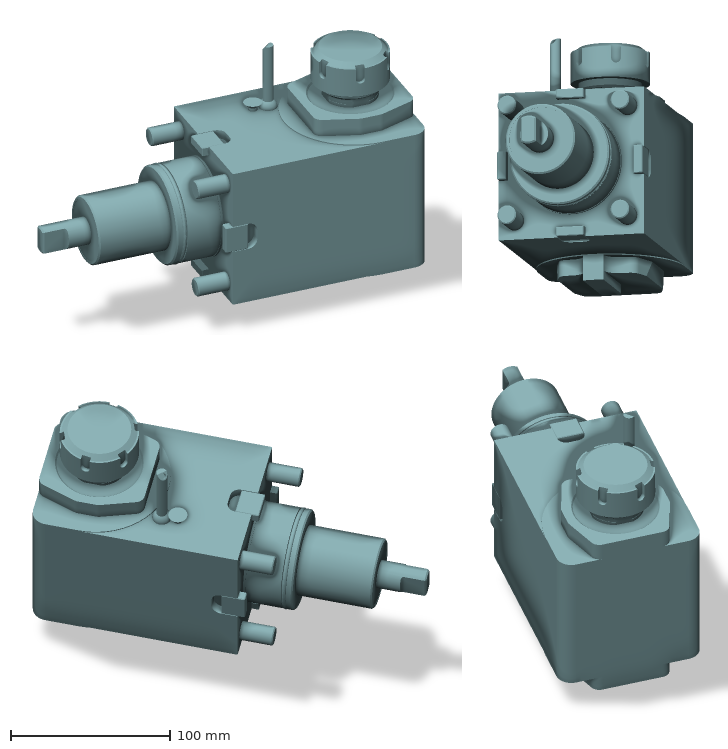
import cadquery as cq
import math


housing_width = 94.0
housing_back = 134.2
corner_radius = 9.8
pad_height = 0.7
pad_center_y = 102.5
spindle_y = 100.2
half_width = housing_width / 2
pad_z = half_width + pad_height

plate_half_x = 33.7
plate_side_half = 7.1
plate_end_half = 24.3
plate_corner_radius = 6.1
plate_half_y = housing_back - spindle_y
top_plate_z = 59.5
bottom_plate_z = -58.0
seat_diameter = 55.8
seat_floor_diameter = 53.8
seat_depth = 1.0

taper_half_top = 31.0
taper_half_bottom = 28.7

tongue_width = 13.3
tongue_back = 107.1
tongue_z = -63.6
tongue_root_radius = 9.8

collar_base_diameter = 65.0
collar_base_length = 1.5
collar_diameter = 64.4
collar_end = 31.7
ring_groove_diameter = 60.2
ring_groove_start = 24.3
ring_groove_width = 3.2
ring_diameter = 65.0
ring_section = 3.0
shank_diameter = 45.0
shank_end = 80.5
shank_recess_diameter = 40.0
shank_recess_depth = 0.2
shaft_diameter = 18.0
shaft_end = 111.5
tang_start = 95.5
tang_thickness = 9.8
tang_root_radius = 1.7
edge_chamfer = 1.0

bolt_diameter = 12.0
bolt_x = 36.5
bolt_z = 35.1
bolt_end = 21.4
bolt_chamfer = 0.7

key_count = 4
key_width = 18.0
key_back = 10.5
key_front = 4.7
key_depth = 6.0
key_slot_length = 16.7
key_slot_corner_radius = 6.0
key_chamfer = 0.5

nut_diameter = 49.9
nut_top_diameter = 40.0
nut_bottom_z = 70.3
nut_shoulder_z = 90.0
nut_shoulder_diameter = 47.7
nut_top_z = 92.9
nut_slot_count = 6
nut_slot_width = 6.0
nut_slot_bottom_z = 79.4
nut_slot_floor = 22.0
nut_slot_angle = 52.0
thread_diameter = 40.0
thread_bottom_z = 66.0
spindle_neck_diameter = 35.9
neck_groove_depth = 0.2
neck_groove_bottom_z = 60.7
neck_groove_top_z = 62.5
flat_count = 4
flat_distance = 17.0
flat_top_z = 64.9

nozzle_x = -24.0
nozzle_y = 54.3
nozzle_diameter = 7.0
nozzle_top_z = 91.5
nozzle_bevel_drop = 4.0
nozzle_bevel_angle = 45.0
ball_diameter = 12.0
jet_diameter = 4.0
jet_depth = 2.5
screw_y = 44.0
screw_head_diameter = 12.0
screw_head_z = 52.3
screw_head_height = 3.0
screw_diameter = 6.0


def rod(diameter, start, end):
    """Cylinder on the shank axis between two distances in front of the housing."""
    return cq.Workplane("XZ", origin=(0, -start, 0)).circle(diameter / 2).extrude(end - start)


def plate(bottom, top):
    """Six-sided plate around the spindle axis with rounded corners."""
    corners = [
        (plate_half_x, -plate_side_half),
        (plate_half_x, plate_side_half),
        (plate_end_half, plate_half_y),
        (-plate_end_half, plate_half_y),
        (-plate_half_x, plate_side_half),
        (-plate_half_x, -plate_side_half),
        (-plate_end_half, -plate_half_y),
        (plate_end_half, -plate_half_y),
    ]
    outline = cq.Workplane("XY", origin=(0, spindle_y, bottom)).polyline(corners).close()
    return outline.extrude(top - bottom).edges("|Z").fillet(plate_corner_radius)


def make_block():
    """Square block with rounded back corners, and a pad with a round front above and below it."""
    block = cq.Workplane("XY").box(housing_width, housing_back, housing_width, centered=(True, False, True))
    pads = (
        cq.Workplane("XY", origin=(0, 0, -pad_z))
        .moveTo(-half_width, housing_back)
        .lineTo(-half_width, pad_center_y)
        .threePointArc((0, pad_center_y - half_width), (half_width, pad_center_y))
        .lineTo(half_width, housing_back)
        .close()
        .extrude(2 * pad_z)
    )
    rounded = cq.Workplane("XY").box(housing_width, housing_back, 2 * pad_z, centered=(True, False, True))
    rounded = rounded.edges("|Z and >Y").fillet(corner_radius)
    return block.union(pads).intersect(rounded)


def make_top_plate():
    """Plate with a shallow tapered seat around the spindle."""
    floor_center = cq.Vector(0, spindle_y, top_plate_z - seat_depth)
    seat = cq.Workplane(obj=cq.Solid.makeCone(
        seat_floor_diameter / 2, seat_diameter / 2, seat_depth, floor_center
    ))
    return plate(pad_z, top_plate_z).cut(seat)


def make_tongue(bottom, top):
    """Bar with a round back end, and a front end flush with the round front of the pad."""
    height = top - bottom
    back_center = tongue_back - tongue_width / 2
    bar = cq.Workplane("XY", origin=(0, 0, bottom)).box(
        tongue_width, back_center, height, centered=(True, False, False)
    )
    back_end = cq.Workplane("XY", origin=(0, back_center, bottom)).circle(tongue_width / 2).extrude(height)
    round_front = cq.Workplane("XY", origin=(0, pad_center_y, bottom)).circle(half_width).extrude(height)
    return bar.union(back_end).intersect(round_front)


def make_bottom_plate():
    """Plate with tapered sides, joined to the tongue with rounded roots; the tongue continues below it."""
    taper = (
        cq.Workplane("XZ", origin=(0, housing_back, 0))
        .polyline([
            (-taper_half_top, -pad_z),
            (taper_half_top, -pad_z),
            (taper_half_bottom, bottom_plate_z),
            (-taper_half_bottom, bottom_plate_z),
        ])
        .close()
        .extrude(2 * plate_half_y)
    )
    bottom_plate = plate(bottom_plate_z, -pad_z).intersect(taper)
    bottom_plate = bottom_plate.union(make_tongue(bottom_plate_z, -pad_z))
    root_y = spindle_y - plate_half_y
    root_z = (bottom_plate_z - pad_z) / 2
    for root_x in (-tongue_width / 2, tongue_width / 2):
        root = cq.selectors.NearestToPointSelector((root_x, root_y, root_z))
        bottom_plate = bottom_plate.edges("|Z").edges(root).fillet(tongue_root_radius)
    return bottom_plate.union(make_tongue(tongue_z, bottom_plate_z))


def make_collar():
    """Collar with a wider base against the housing and a sealing ring in a groove."""
    base = rod(collar_base_diameter, 0, collar_base_length)
    body = rod(collar_diameter, collar_base_length, collar_end).faces("<Y").chamfer(edge_chamfer)
    groove_end = ring_groove_start + ring_groove_width
    groove = rod(ring_diameter, ring_groove_start, groove_end)
    groove = groove.cut(rod(ring_groove_diameter, ring_groove_start, groove_end))
    ring_center = cq.Vector(0, -(ring_groove_start + ring_groove_width / 2), 0)
    ring_radius = (ring_diameter - ring_section) / 2
    ring = cq.Workplane(obj=cq.Solid.makeTorus(
        ring_radius, ring_section / 2, ring_center, cq.Vector(0, 1, 0)
    ))
    return base.union(body).cut(groove).union(ring)


def make_tang_cut(side):
    """Material removed on one side of the tang, with a rounded root."""
    cut = cq.Workplane("XY").box(
        shaft_diameter, shaft_end - tang_start, shaft_diameter, centered=(True, False, True)
    )
    cut = cut.faces(">Y").edges("<X").fillet(tang_root_radius)
    cut = cut.translate(((tang_thickness + shaft_diameter) / 2, -shaft_end, 0))
    return cut if side > 0 else cut.mirror("YZ")


def make_shank():
    """Shank with a shallow end recess, and the drive shaft with its flat tang."""
    shank = rod(shank_diameter, collar_end, shank_end).faces("<Y").chamfer(edge_chamfer)
    shank = shank.cut(rod(shank_recess_diameter, shank_end - shank_recess_depth, shank_end))
    shaft = rod(shaft_diameter, shank_end - shank_recess_depth, shaft_end)
    for side in (-1, 1):
        shaft = shaft.cut(make_tang_cut(side))
    return shank.union(shaft.faces("<Y").chamfer(edge_chamfer))


def make_bolt(x, z):
    """Bolt that stands out of the front face."""
    bolt = cq.Workplane("XZ", origin=(x, 0, z)).circle(bolt_diameter / 2).extrude(bolt_end)
    return bolt.faces("<Y").chamfer(bolt_chamfer)


def make_key_slot():
    """Slot in the top side of the block, open to the front, with rounded back corners."""
    slot = cq.Workplane("XY", origin=(0, 0, half_width - key_depth)).box(
        key_width, key_slot_length, key_depth, centered=(True, False, False)
    )
    return slot.edges("|Z and >Y").fillet(key_slot_corner_radius)


def make_key():
    """Key that fills the front of the slot and stands out of the front face."""
    key = cq.Workplane("XY", origin=(0, -key_front, half_width - key_depth)).box(
        key_width, key_front + key_back, key_depth, centered=(True, False, False)
    )
    return key.faces("<Y or >Z").edges().chamfer(key_chamfer)


def make_spindle():
    """Collet spindle: slotted nut, thread shoulder and a neck with four flats, seated in the top plate."""
    neck_radius = spindle_neck_diameter / 2
    groove_radius = neck_radius - neck_groove_depth
    thread_chamfer = thread_diameter / 2 - neck_radius
    half_profile = [
        (0, top_plate_z - seat_depth),
        (neck_radius, top_plate_z - seat_depth),
        (neck_radius, neck_groove_bottom_z),
        (groove_radius, neck_groove_bottom_z),
        (groove_radius, neck_groove_top_z),
        (neck_radius, neck_groove_top_z),
        (neck_radius, thread_bottom_z - thread_chamfer),
        (thread_diameter / 2, thread_bottom_z),
        (thread_diameter / 2, nut_bottom_z),
        (nut_diameter / 2, nut_bottom_z),
        (nut_diameter / 2, nut_shoulder_z),
        (nut_shoulder_diameter / 2, nut_shoulder_z),
        (nut_top_diameter / 2, nut_top_z),
        (0, nut_top_z),
    ]
    spindle = cq.Workplane("XZ").polyline(half_profile).close().revolve(360, (0, 0, 0), (0, 1, 0))
    for index in range(flat_count):
        flat = cq.Workplane("XY", origin=(flat_distance, 0, 0)).box(
            nut_diameter, nut_diameter, flat_top_z, centered=(False, True, False)
        )
        spindle = spindle.cut(flat.rotate((0, 0, 0), (0, 0, 1), index * 360 / flat_count))
    slot_center_z = nut_slot_bottom_z + nut_slot_width / 2
    slot = cq.Workplane("YZ", origin=(nut_slot_floor, 0, slot_center_z)).circle(nut_slot_width / 2)
    slot = slot.extrude(nut_diameter)
    upper = cq.Workplane("XY", origin=(nut_slot_floor, 0, slot_center_z)).box(
        nut_diameter, nut_slot_width, nut_diameter, centered=(False, True, False)
    )
    slot = slot.union(upper)
    for index in range(nut_slot_count):
        angle = nut_slot_angle + index * 360 / nut_slot_count
        spindle = spindle.cut(slot.rotate((0, 0, 0), (0, 0, 1), angle))
    return spindle.translate((0, spindle_y, 0))


def make_ball():
    """Ball of the nozzle, half sunk in the top of the housing."""
    return cq.Workplane("XY", origin=(nozzle_x, nozzle_y, half_width)).sphere(ball_diameter / 2)


def make_nozzle():
    """Ball and tube; the tip is bevelled towards -X -Y and has a jet hole square to the bevel."""
    tube = cq.Workplane("XY", origin=(nozzle_x, nozzle_y, half_width)).circle(nozzle_diameter / 2)
    nozzle = make_ball().union(tube.extrude(nozzle_top_z - half_width))
    radius = nozzle_diameter / 2
    bevel = (
        cq.Workplane("XZ")
        .polyline([(0, 0), (-radius, -nozzle_bevel_drop), (-nozzle_diameter, 0)])
        .close()
        .extrude(radius, both=True)
    )
    slope = math.hypot(radius, nozzle_bevel_drop)
    inward = cq.Vector(nozzle_bevel_drop / slope, 0, -radius / slope)
    jet = cq.Workplane(obj=cq.Solid.makeCylinder(
        jet_diameter / 2, jet_depth, cq.Vector(-radius / 2, 0, -nozzle_bevel_drop / 2), inward
    ))
    for tool in (bevel, jet):
        turned = tool.rotate((0, 0, 0), (0, 0, 1), nozzle_bevel_angle)
        nozzle = nozzle.cut(turned.translate((nozzle_x, nozzle_y, nozzle_top_z)))
    return nozzle


def make_screw():
    """Clamp screw with a countersunk head, standing on the housing."""
    head_bottom_z = screw_head_z - screw_head_height
    half_profile = [
        (0, half_width),
        (screw_diameter / 2, half_width),
        (screw_diameter / 2, head_bottom_z),
        (screw_head_diameter / 2, screw_head_z),
        (0, screw_head_z),
    ]
    screw = cq.Workplane("XZ").polyline(half_profile).close().revolve(360, (0, 0, 0), (0, 1, 0))
    return screw.translate((nozzle_x, screw_y, 0))


def make_housing():
    """Block with plates, shank, bolts and keys, and a socket for the nozzle ball."""
    housing = make_block().union(make_top_plate()).union(make_bottom_plate()).union(make_collar())
    housing = housing.union(make_shank())
    for x in (-bolt_x, bolt_x):
        for z in (-bolt_z, bolt_z):
            housing = housing.union(make_bolt(x, z))
    for index in range(key_count):
        angle = index * 360 / key_count
        housing = housing.cut(make_key_slot().rotate((0, 0, 0), (0, 1, 0), angle))
        housing = housing.union(make_key().rotate((0, 0, 0), (0, 1, 0), angle))
    return housing.cut(make_ball())


housing = make_housing()
spindle = make_spindle()
nozzle = make_nozzle()
screw = make_screw()

result = cq.Compound.makeCompound([housing.val(), spindle.val(), nozzle.val(), screw.val()])